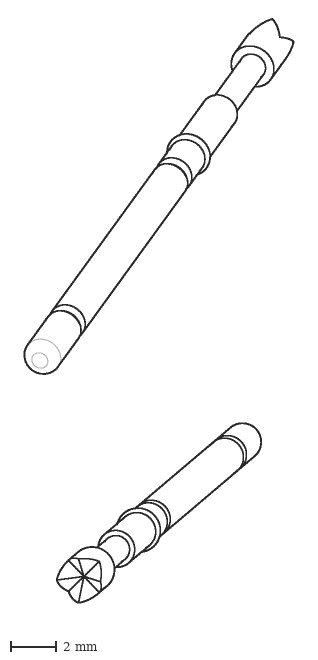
import cadquery as cq
import math

total_length = 35.4

barrel_radius = 1.65 / 2
barrel_length = 27.35
end_round_radius = 0.45

ring_radius = 2.0 / 2
ring_position = 22.65
ring_bead_radius = 0.25

crimp_positions = (3.9, 20.1)
crimp_width = 0.65
crimp_depth = 0.15

plunger_radius = 1.2 / 2
head_radius = 2.0 / 2
head_length = 3.0
tooth_depth = 1.15
groove_angle = 45


def cylinder(radius, start, length):
    """Round bar along +Y, beginning at y = start."""
    return cq.Workplane("XZ", origin=(0, start, 0)).circle(radius).extrude(-length)


def torus(circle_radius, center_radius, position):
    """Torus around the Y axis with its section circle at center_radius."""
    section = cq.Workplane("XY").center(center_radius, position).circle(circle_radius)
    return section.revolve(360, (-center_radius, 0), (-center_radius, 1))


def make_barrel():
    barrel = cylinder(barrel_radius, 0, barrel_length)
    barrel = barrel.faces("<Y").edges().fillet(end_round_radius)
    barrel = barrel.union(torus(ring_bead_radius, ring_radius - ring_bead_radius, ring_position))

    crimp_arc_radius = ((crimp_width / 2) ** 2 + crimp_depth**2) / (2 * crimp_depth)
    crimp_center_radius = barrel_radius - crimp_depth + crimp_arc_radius
    for position in crimp_positions:
        barrel = barrel.cut(torus(crimp_arc_radius, crimp_center_radius, position))
    return barrel


def make_plunger():
    head_start = total_length - head_length
    stem = cylinder(plunger_radius, barrel_length, head_start - barrel_length)
    head = cylinder(head_radius, head_start, head_length)

    groove_half_width = head_radius * math.sin(math.radians(groove_angle))
    groove = (
        cq.Workplane("XY")
        .moveTo(-groove_half_width, total_length)
        .lineTo(0, total_length - tooth_depth)
        .lineTo(groove_half_width, total_length)
        .close()
        .extrude(2 * head_radius, both=True)
    )
    for angle in (groove_angle, -groove_angle):
        head = head.cut(groove.rotate((0, 0, 0), (0, 1, 0), angle))
    return stem.union(head)


result = make_barrel().union(make_plunger())